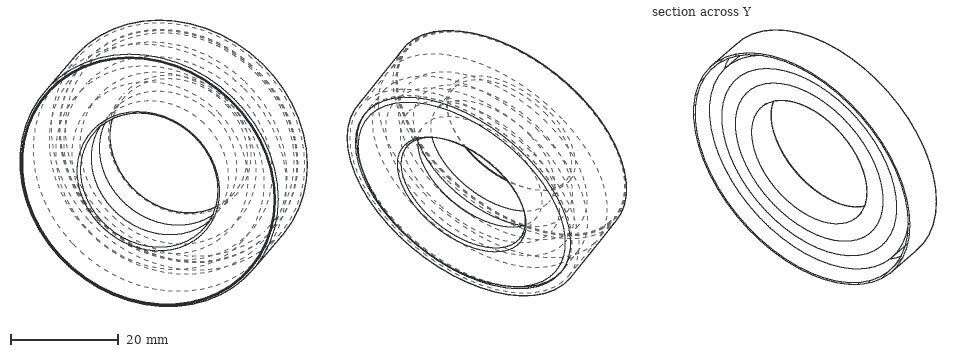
import cadquery as cq

outer_diameter = 50.8
overall_thickness = 17.4625
bore_diameter = 26.99
bore_chamfer = 0.51

band_inner_diameter = 49.78
band_wall = (outer_diameter - band_inner_diameter) / 2
band_front_chamfer = 0.4
band_rear_fillet = 0.48

washer_thickness = 6.45
front_washer_rim_diameter = 49.43
front_washer_chamfer = (band_inner_diameter - front_washer_rim_diameter) / 2
rear_washer_diameter = 46.74
rear_washer_chamfer = 0.87
rear_protrusion = 0.42

race_pitch_diameter = 37.8
ball_diameter = 5.56

front_y = -overall_thickness / 2
rear_y = overall_thickness / 2
band_rear_y = rear_y - rear_protrusion
lip_front_y = band_rear_y - band_wall


def disc(diameter, start_y, end_y):
    """Solid cylinder on the Y axis between two Y positions."""
    plane = cq.Plane(origin=(0, start_y, 0), xDir=(1, 0, 0), normal=(0, 1, 0))
    return cq.Workplane(plane).circle(diameter / 2).extrude(end_y - start_y)


def race_torus():
    """Ring traced by the balls at mid-thickness; it hollows out the race grooves."""
    pitch_radius = race_pitch_diameter / 2
    ball_section = cq.Workplane("XY").center(pitch_radius, 0).circle(ball_diameter / 2)
    return ball_section.revolve(360, (-pitch_radius, 0), (-pitch_radius, 1))


def washer(diameter, start_y, end_y, outer_face, rim_chamfer):
    """Washer with a chamfered rim and bore on its outer face and a race groove on the other."""
    blank = disc(diameter, start_y, end_y).faces(outer_face).chamfer(rim_chamfer)
    ring = blank.cut(disc(bore_diameter, start_y, end_y))
    bore_edge = cq.selectors.RadiusNthSelector(0)
    ring = ring.faces(outer_face).edges(bore_edge).chamfer(bore_chamfer)
    return ring.cut(race_torus())


def make_band():
    """Thin sleeve with a lip turned in around the rear washer."""
    shell = disc(outer_diameter, front_y, band_rear_y)
    shell = shell.faces("<Y").chamfer(band_front_chamfer)
    shell = shell.faces(">Y").edges().fillet(band_rear_fillet)
    shell = shell.cut(disc(band_inner_diameter, front_y, lip_front_y))
    return shell.cut(disc(rear_washer_diameter, lip_front_y, band_rear_y))


front_washer = washer(
    band_inner_diameter, front_y, front_y + washer_thickness, "<Y", front_washer_chamfer
)
rear_washer = washer(
    rear_washer_diameter, rear_y - washer_thickness, rear_y, ">Y", rear_washer_chamfer
)
band = make_band()

result = cq.Compound.makeCompound([front_washer.val(), rear_washer.val(), band.val()])